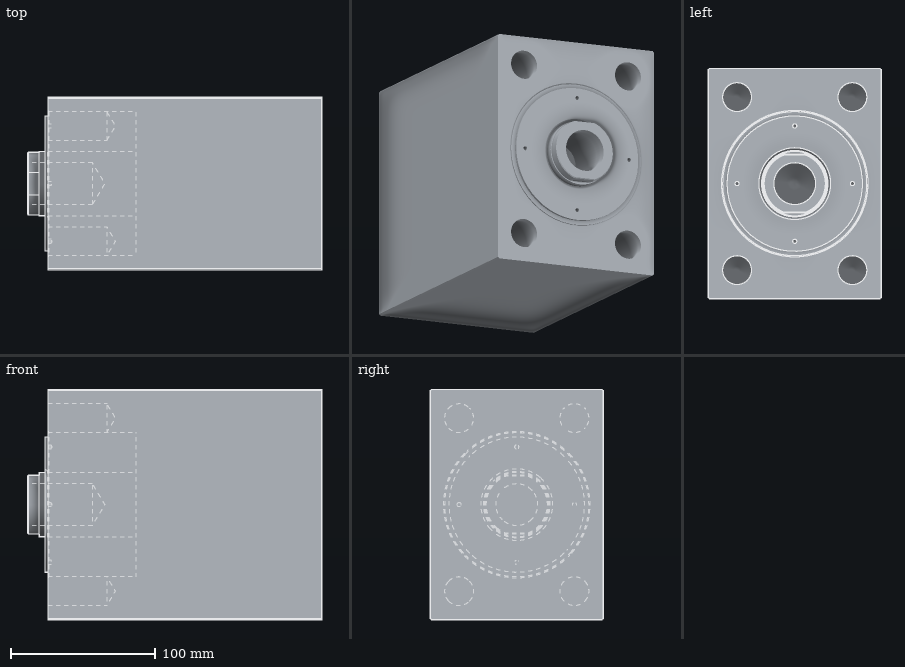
import cadquery as cq
import math

OVERALL_LENGTH = 204.0
BLOCK_WIDTH = 120.0
BLOCK_HEIGHT = 160.0
BLOCK_EDGE_CHAMFER = 1.0

MOUNT_HOLE_DIAMETER = 20.0
MOUNT_HOLE_DEPTH = 40.8
MOUNT_SPACING_Y = 80.0
MOUNT_SPACING_Z = 120.0

GLAND_DIAMETER = 100.0
GLAND_FACE_DIAMETER = 93.8
GLAND_PROJECTION = 2.0
GLAND_DEPTH = 61.2
GLAND_SEAT_CHAMFER = 0.8
WIPER_MOUTH_DIAMETER = 49.8
WIPER_FLOOR_DIAMETER = 46.1

PIN_HOLE_COUNT = 4
PIN_HOLE_DIAMETER = 2.9
PIN_HOLE_DEPTH = 4.0
PIN_CIRCLE_DIAMETER = 80.0

ROD_DIAMETER = 44.9
ROD_COLLAR_LENGTH = 4.0
ROD_NOSE_DIAMETER = 43.7
ROD_NOSE_LENGTH = 8.0
ROD_NOSE_CHAMFER = 0.6
ROD_ACROSS_FLATS = 40.8
ROD_HOLE_DIAMETER = 29.0
ROD_HOLE_DEPTH = 44.9

DRILL_POINT_ANGLE = 118.0

GLAND_FACE_X = -GLAND_PROJECTION
COLLAR_FACE_X = GLAND_FACE_X - ROD_COLLAR_LENGTH
ROD_TIP_X = COLLAR_FACE_X - ROD_NOSE_LENGTH
BLOCK_LENGTH = OVERALL_LENGTH + ROD_TIP_X


def cylinder(diameter, start_x, end_x):
    """Cylinder on the X axis between two X positions."""
    return cq.Workplane("YZ", origin=(start_x, 0, 0)).circle(diameter / 2).extrude(end_x - start_x)


def countersink(mouth_diameter, floor_diameter, face_x):
    """Cutter for a 45 degree conical recess on the X axis that narrows from its mouth to its floor."""
    depth = (mouth_diameter - floor_diameter) / 2
    axis_start = cq.Vector(face_x, 0, 0)
    axis_direction = cq.Vector(1, 0, 0)
    cone = cq.Solid.makeCone(mouth_diameter / 2, floor_diameter / 2, depth, axis_start, axis_direction)
    return cq.Workplane(cone)


def drilled_hole(diameter, depth, face_x, y=0.0, z=0.0):
    """Cutter for a blind hole along +X with a conical drill point."""
    radius = diameter / 2
    point_length = radius / math.tan(math.radians(DRILL_POINT_ANGLE / 2))
    half_section = [(0, 0), (0, radius), (depth, radius), (depth + point_length, 0)]
    cutter = cq.Workplane("XY").polyline(half_section).close().revolve(360, (0, 0, 0), (1, 0, 0))
    return cutter.translate((face_x, y, z))


def make_block():
    block = cq.Workplane("XY").box(BLOCK_LENGTH, BLOCK_WIDTH, BLOCK_HEIGHT, centered=(False, True, True))
    block = block.edges("|X").chamfer(BLOCK_EDGE_CHAMFER)

    seat = cylinder(GLAND_DIAMETER, 0, GLAND_DEPTH)
    seat_mouth_diameter = GLAND_DIAMETER + 2 * GLAND_SEAT_CHAMFER
    block = block.cut(seat).cut(countersink(seat_mouth_diameter, GLAND_DIAMETER, 0))

    for side_y in (-1, 1):
        for side_z in (-1, 1):
            y = side_y * MOUNT_SPACING_Y / 2
            z = side_z * MOUNT_SPACING_Z / 2
            block = block.cut(drilled_hole(MOUNT_HOLE_DIAMETER, MOUNT_HOLE_DEPTH, 0, y, z))
    return block


def make_gland():
    gland = cylinder(GLAND_DIAMETER, 0, GLAND_DEPTH)
    gland = gland.union(cylinder(GLAND_FACE_DIAMETER, GLAND_FACE_X, 0))

    gland = gland.cut(cylinder(ROD_DIAMETER, GLAND_FACE_X, GLAND_DEPTH))
    gland = gland.cut(countersink(WIPER_MOUTH_DIAMETER, WIPER_FLOOR_DIAMETER, GLAND_FACE_X))

    for index in range(PIN_HOLE_COUNT):
        angle = 2 * math.pi * index / PIN_HOLE_COUNT
        y = PIN_CIRCLE_DIAMETER / 2 * math.cos(angle)
        z = PIN_CIRCLE_DIAMETER / 2 * math.sin(angle)
        gland = gland.cut(drilled_hole(PIN_HOLE_DIAMETER, PIN_HOLE_DEPTH, GLAND_FACE_X, y, z))
    return gland


def make_rod():
    nose = cylinder(ROD_NOSE_DIAMETER, ROD_TIP_X, COLLAR_FACE_X)

    between_flats = cq.Workplane("XY", origin=(ROD_TIP_X, 0, 0)).box(
        ROD_NOSE_LENGTH, ROD_NOSE_DIAMETER, ROD_ACROSS_FLATS, centered=(False, True, True)
    )
    nose = nose.intersect(between_flats).faces("<X").chamfer(ROD_NOSE_CHAMFER)

    rod = cylinder(ROD_DIAMETER, COLLAR_FACE_X, GLAND_DEPTH).union(nose)
    return rod.cut(drilled_hole(ROD_HOLE_DIAMETER, ROD_HOLE_DEPTH, ROD_TIP_X))


block = make_block()
gland = make_gland()
rod = make_rod()
result = cq.Compound.makeCompound([block.val(), gland.val(), rod.val()])